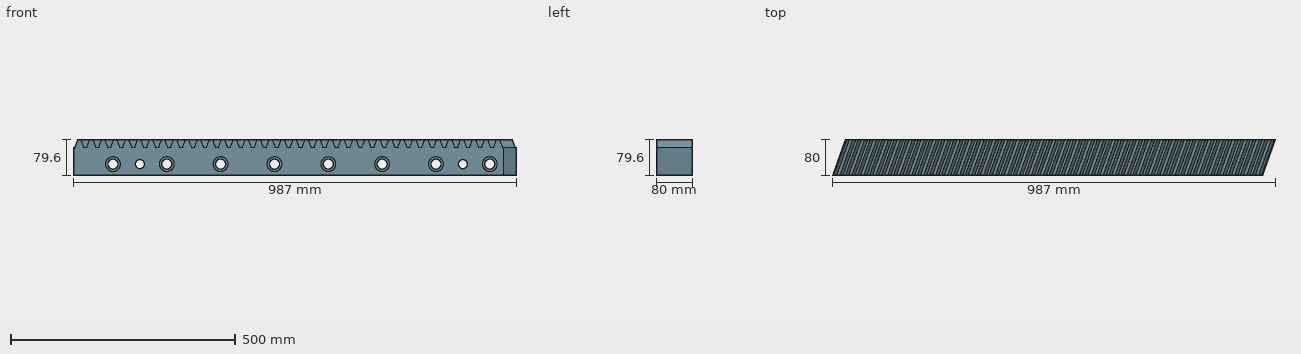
import cadquery as cq
import math

normal_module = 8.0
pressure_angle = 20.0
helix_angle = 19.5283
tooth_count = 36
end_clearance = 0.675
face_width = 80.0
overall_height = 79.6
addendum = normal_module
dedendum = 1.25 * normal_module

hole_height = 25.0
hole_spacing = 120.0
bolt_hole_count = 8
bolt_hole_diameter = 22.0
counterbore_diameter = 33.0
counterbore_depth = 21.0
pin_hole_diameter = 19.7

helix_cosine = math.cos(math.radians(helix_angle))
pitch = math.pi * normal_module / helix_cosine
flank_slope = math.tan(math.radians(pressure_angle)) / helix_cosine
pitch_line_height = overall_height - addendum
root_height = pitch_line_height - dedendum
half_root_gap = pitch / 4 - dedendum * flank_slope
half_top_gap = pitch / 4 + addendum * flank_slope

body_length = tooth_count * pitch - 2 * end_clearance
back_shift = face_width * math.tan(math.radians(helix_angle))
first_bolt_x = back_shift + hole_spacing / 2 - end_clearance
bolt_positions = [first_bolt_x + i * hole_spacing for i in range(bolt_hole_count)]
pin_positions = [
    bolt_positions[0] + hole_spacing / 2,
    bolt_positions[-1] - hole_spacing / 2,
]


def rack_profile():
    """Toothed outline of the front face; both ends stop just short of a gap centre."""
    points = [(0, 0), (0, root_height)]
    for tooth in range(tooth_count):
        left_gap_center = tooth * pitch - end_clearance
        right_gap_center = left_gap_center + pitch
        points += [
            (left_gap_center + half_root_gap, root_height),
            (left_gap_center + half_top_gap, overall_height),
            (right_gap_center - half_top_gap, overall_height),
            (right_gap_center - half_root_gap, root_height),
        ]
    points += [(body_length, root_height), (body_length, 0)]
    return [cq.Vector(x, 0, z) for x, z in points]


def toothed_bar():
    """Extrude the profile obliquely, so that teeth and end faces follow the helix angle."""
    outline = cq.Wire.makePolygon(rack_profile(), close=True)
    helix_direction = cq.Vector(back_shift, face_width, 0)
    return cq.Workplane(cq.Solid.extrudeLinear(cq.Face.makeFromWires(outline), helix_direction))


def holes_along_y(positions, diameter, depth):
    """Cylinders running from the front face into the bar."""
    centers = [(x, hole_height) for x in positions]
    return cq.Workplane("XZ").pushPoints(centers).circle(diameter / 2).extrude(-depth)


result = (
    toothed_bar()
    .cut(holes_along_y(bolt_positions, bolt_hole_diameter, face_width))
    .cut(holes_along_y(bolt_positions, counterbore_diameter, counterbore_depth))
    .cut(holes_along_y(pin_positions, pin_hole_diameter, face_width))
)